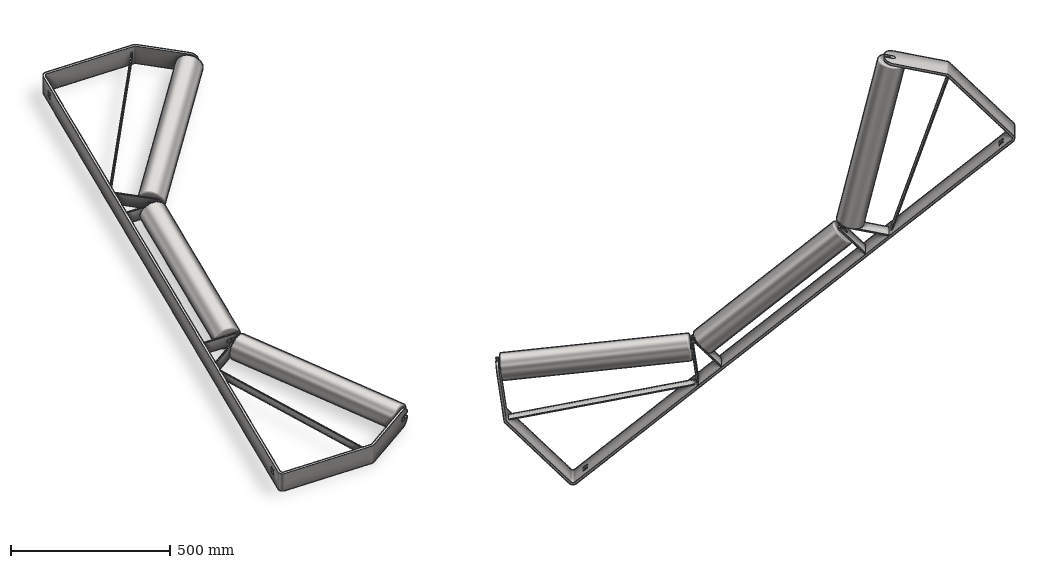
import cadquery as cq
import math

FRAME_LENGTH = 1890.0
STRIP_WIDTH = 80.0
STRIP_THICKNESS = 8.0
INNER_BEND_RADIUS = STRIP_THICKNESS
OUTER_BEND_RADIUS = INNER_BEND_RADIUS + STRIP_THICKNESS
BEND_HEIGHT = 320.0
ARM_LENGTH = 206.0
ARM_CORNER_RADIUS = 30.0
MOUNT_HOLE_WIDTH = 17.0
MOUNT_HOLE_HEIGHT = 23.0
MOUNT_HOLE_INSET = 60.0

TROUGH_ANGLE = 35.0
DRUM_RADIUS = 44.5
DRUM_LENGTH = 601.0
DRUM_EDGE_RADIUS = 5.0
SHAFT_DIAMETER = 17.0
SLOT_OVERCUT = 2.0
BRACKET_GAP = 4.0
CENTRE_AXIS_HEIGHT = 102.0
CENTRE_DROP = 8.0
WING_AXIS_ALONG_ARM = 180.0
ARM_GAP = 5.0

BRACKET_THICKNESS = 4.7
BRACKET_WIDTH = 50.0
BRACKET_HEIGHT = 132.0

BRACE_ANGLE = 30.0
BRACE_THICKNESS = 4.0
BRACE_WIDTH = 30.0
BRACE_TOP_HEIGHT = 308.0

ARM_STUB = ARM_GAP + STRIP_THICKNESS
BRACKET_STUB = BRACKET_GAP + BRACKET_THICKNESS

SIN_TROUGH = math.sin(math.radians(TROUGH_ANGLE))
COS_TROUGH = math.cos(math.radians(TROUGH_ANGLE))
ARM_DIRECTION = cq.Vector(SIN_TROUGH, COS_TROUGH, 0)
INWARD = cq.Vector(COS_TROUGH, -SIN_TROUGH, 0)
UP_Y = cq.Vector(0, 1, 0)
UP_Z = cq.Vector(0, 0, 1)

ARM_BEND = cq.Vector(-FRAME_LENGTH / 2, BEND_HEIGHT, 0)

WING_OUTER_END = ARM_BEND + ARM_DIRECTION * WING_AXIS_ALONG_ARM + INWARD * (STRIP_THICKNESS + ARM_GAP)
WING_LEVEL_RUN = math.sqrt(DRUM_LENGTH**2 - CENTRE_DROP**2)
WING_INNER_END = WING_OUTER_END + INWARD * WING_LEVEL_RUN - UP_Z * CENTRE_DROP
CENTRE_LEFT_END = cq.Vector(-DRUM_LENGTH / 2, CENTRE_AXIS_HEIGHT, -CENTRE_DROP)
CENTRE_RIGHT_END = cq.Vector(DRUM_LENGTH / 2, CENTRE_AXIS_HEIGHT, -CENTRE_DROP)


def extrude_strip(points, width):
    """A strip with the given XY outline, centred on Z = 0."""
    return cq.Workplane("XY").polyline(points).close().extrude(width / 2, both=True)


def make_roller(start, end, seam_direction, start_shaft, end_shaft):
    """A drum from start to end with rounded rims and a stub shaft at each end."""
    axis = (end - start).normalized()
    drum = (
        cq.Workplane(cq.Plane(start, seam_direction, axis))
        .circle(DRUM_RADIUS)
        .extrude(DRUM_LENGTH)
        .edges("%CIRCLE")
        .fillet(DRUM_EDGE_RADIUS)
    )
    shaft = (
        cq.Workplane(cq.Plane(start - axis * start_shaft, seam_direction, axis))
        .circle(SHAFT_DIAMETER / 2)
        .extrude(start_shaft + DRUM_LENGTH + end_shaft)
    )
    return drum.union(shaft)


def make_slot(drum_end, outward, open_direction, stub_length):
    """The cutter for a U-shaped shaft seat in a support plate, open along open_direction."""
    reach = 2 * DRUM_RADIUS
    radius = SHAFT_DIAMETER / 2
    return (
        cq.Workplane(cq.Plane(drum_end, open_direction, outward))
        .moveTo(reach, radius)
        .lineTo(0, radius)
        .threePointArc((-radius, 0), (0, -radius))
        .lineTo(reach, -radius)
        .close()
        .extrude(stub_length + SLOT_OVERCUT)
    )


def round_edges(body, edge_centres, radius):
    """Fillet the edge whose centre is nearest to each given point."""
    for centre in edge_centres:
        nearest = cq.selectors.NearestToPointSelector(centre)
        body = body.edges(nearest).fillet(radius)
    return body


def mirrored(body):
    """The matching body on the other side of the mid plane X = 0."""
    return body.mirror("YZ")


def make_frame(arm_slot):
    """The bent strip with rounded arm ends, shaft slots and mounting holes."""
    t = STRIP_THICKNESS
    miter = t * math.tan(math.radians(TROUGH_ANGLE / 2))
    arm_tip = ARM_BEND + ARM_DIRECTION * ARM_LENGTH
    arm_tip_inside = arm_tip + INWARD * t
    left = [
        (-FRAME_LENGTH / 2, 0),
        (ARM_BEND.x, ARM_BEND.y),
        (arm_tip.x, arm_tip.y),
        (arm_tip_inside.x, arm_tip_inside.y),
        (ARM_BEND.x + t, ARM_BEND.y - miter),
        (-FRAME_LENGTH / 2 + t, t),
    ]
    right = [(-x, y) for x, y in reversed(left)]
    frame = extrude_strip(left + right, STRIP_WIDTH)

    outer_bends = left[:2] + right[-2:]
    inner_bends = left[4:] + right[:2]
    frame = round_edges(frame, [(x, y, 0) for x, y in outer_bends], OUTER_BEND_RADIUS)
    frame = round_edges(frame, [(x, y, 0) for x, y in inner_bends], INNER_BEND_RADIUS)

    tip_middle = (arm_tip + arm_tip_inside) * 0.5
    arm_corners = [
        (side * tip_middle.x, tip_middle.y, end * STRIP_WIDTH / 2)
        for side in (-1, 1)
        for end in (-1, 1)
    ]
    frame = round_edges(frame, arm_corners, ARM_CORNER_RADIUS)

    hole_x = FRAME_LENGTH / 2 - MOUNT_HOLE_INSET
    holes = (
        cq.Workplane("XZ")
        .pushPoints([(-hole_x, 0), (hole_x, 0)])
        .rect(MOUNT_HOLE_WIDTH, MOUNT_HOLE_HEIGHT)
        .extrude(-t)
    )
    return frame.cut(holes).cut(arm_slot).cut(mirrored(arm_slot))


def make_left_bracket(wing_slot, centre_slot):
    """The bent bracket that carries the inner wing shaft and one centre shaft."""
    t = BRACKET_THICKNESS
    base = STRIP_THICKNESS
    top = BRACKET_HEIGHT
    upright_x = CENTRE_LEFT_END.x - BRACKET_GAP
    lean_point = WING_INNER_END + INWARD * BRACKET_GAP

    def lean_x(y, depth):
        """X of the leaning leg at height y, at the given depth below its drum-side face."""
        return lean_point.x + ((y - lean_point.y) * SIN_TROUGH + depth) / COS_TROUGH

    points = [
        (upright_x, base),
        (upright_x, top),
        (lean_x(top, 0), top),
        (lean_x(base, 0), base),
        (lean_x(base, t), base),
        (lean_x(top - t, t), top - t),
        (upright_x - t, top - t),
        (upright_x - t, base),
    ]
    bracket = extrude_strip(points, BRACKET_WIDTH).translate((0, 0, -CENTRE_DROP))
    return bracket.cut(wing_slot).cut(centre_slot)


def make_left_brace():
    """The sloping bar, cut flush with the upright and the base."""
    slope = math.tan(math.radians(BRACE_ANGLE))
    rise = BRACE_THICKNESS / math.cos(math.radians(BRACE_ANGLE))
    wall_x = -FRAME_LENGTH / 2 + STRIP_THICKNESS
    base = STRIP_THICKNESS
    upper = BRACE_TOP_HEIGHT
    lower = upper - rise
    points = [
        (wall_x, upper),
        (wall_x + (upper - base) / slope, base),
        (wall_x + (lower - base) / slope, base),
        (wall_x, lower),
    ]
    return extrude_strip(points, BRACE_WIDTH)


wing_axis = (WING_INNER_END - WING_OUTER_END).normalized()
arm_slot = make_slot(WING_OUTER_END, wing_axis * -1, ARM_DIRECTION, ARM_STUB)
wing_slot = make_slot(WING_INNER_END, wing_axis, ARM_DIRECTION, BRACKET_STUB)
centre_slot = make_slot(CENTRE_LEFT_END, cq.Vector(-1, 0, 0), UP_Y, BRACKET_STUB)

frame = make_frame(arm_slot)
left_bracket = make_left_bracket(wing_slot, centre_slot)
left_brace = make_left_brace()
left_wing_roller = make_roller(WING_OUTER_END, WING_INNER_END, ARM_DIRECTION, ARM_STUB, BRACKET_STUB)
centre_roller = make_roller(CENTRE_LEFT_END, CENTRE_RIGHT_END, UP_Z, BRACKET_STUB, BRACKET_STUB)

bodies = [frame, centre_roller]
for left_body in (left_bracket, left_brace, left_wing_roller):
    bodies.append(left_body)
    bodies.append(mirrored(left_body))

result = cq.Compound.makeCompound([body.solids().val() for body in bodies])